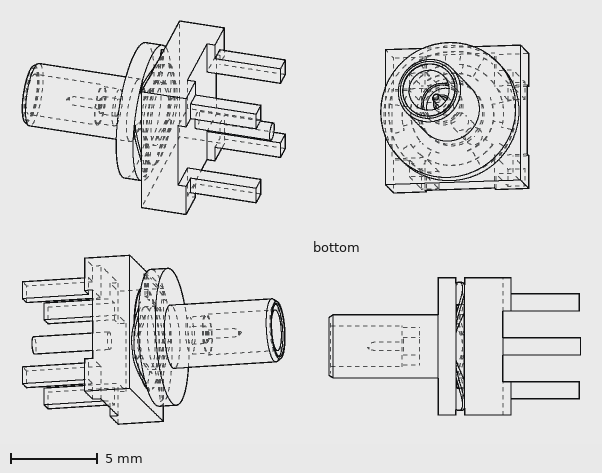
import cadquery as cq
import math

total_length = 14.5

barrel_diameter = 3.65
tip_chamfer_length = 0.25
tip_chamfer_height = 0.16
rim_recess_diameter = 3.06
rim_recess_depth = 0.1
bore_diameter = 2.35
bore_step_diameter = 2.15
bore_step_at = 4.2
bore_depth = 5.22

flange_front = 6.3
flange_thickness = 1.02

body_width = 7.92
body_front = 7.82
body_length = 2.68
channel_width = 4.06
channel_depth = 0.48
seat_diameter = 5.95
seat_height = 0.05

leg_width = 1.0
leg_end = 14.43
pin_diameter = 1.02

contact_base_length = 1.02
contact_base_chamfer = 0.1
contact_diameter = 0.5
contact_length = 2.03
contact_taper_length = 0.29
contact_taper_diameter = 0.32
contact_point_length = 0.15

washer_outer_diameter = 7.4
washer_inner_diameter = 4.85
washer_thickness = 0.15
wave_count = 3
wave_amplitude = 0.32
wave_skew = 6.0
wave_points = 36

flange_back = flange_front + flange_thickness
body_back = body_front + body_length
channel_floor = body_back - channel_depth
seat_front = body_front - seat_height


def rod(start, end, diameter):
    """Cylinder on the X axis between two X positions."""
    return cq.Workplane("YZ").workplane(offset=start).circle(diameter / 2).extrude(end - start)


def slab(start, end, size_y, size_z):
    """Rectangular block centred on the X axis between two X positions."""
    return cq.Workplane("YZ").workplane(offset=start).rect(size_y, size_z).extrude(end - start)


def make_barrel():
    """Barrel and flange, with a tapered tip, a shallow rim recess and a stepped blind bore."""
    radius = barrel_diameter / 2
    profile = [
        (0, 0),
        (0, radius - tip_chamfer_height),
        (tip_chamfer_length, radius),
        (body_front, radius),
        (body_front, 0),
    ]
    barrel = cq.Workplane("XY").polyline(profile).close().revolve(360, (0, 0, 0), (1, 0, 0))
    barrel = barrel.union(rod(flange_front, flange_back, body_width))
    barrel = barrel.cut(rod(0, rim_recess_depth, rim_recess_diameter))
    barrel = barrel.cut(rod(0, bore_step_at, bore_diameter))
    return barrel.cut(rod(0, bore_depth, bore_step_diameter))


def make_contact():
    """Pointed contact on a chamfered base, standing on the bore floor."""
    base_front = bore_depth - contact_base_length
    tip = base_front - contact_length
    taper_front = tip + contact_point_length
    base_radius = pin_diameter / 2
    contact_radius = contact_diameter / 2
    profile = [
        (tip, 0),
        (taper_front, contact_taper_diameter / 2),
        (taper_front + contact_taper_length, contact_radius),
        (base_front, contact_radius),
        (base_front, base_radius - contact_base_chamfer),
        (base_front + contact_base_chamfer, base_radius),
        (bore_depth, base_radius),
        (bore_depth, 0),
    ]
    return cq.Workplane("XY").polyline(profile).close().revolve(360, (0, 0, 0), (1, 0, 0))


def make_body():
    """Square body with its rear channels, front seat, corner legs and solder pin."""
    body = slab(body_front, body_back, body_width, body_width)
    body = body.cut(slab(channel_floor, body_back, body_width, channel_width))
    body = body.cut(slab(channel_floor, body_back, channel_width, body_width))
    body = body.union(rod(seat_front, body_front, seat_diameter))
    body = body.union(rod(channel_floor, total_length, pin_diameter))
    leg_pitch = channel_width + leg_width
    legs = (
        cq.Workplane("YZ")
        .workplane(offset=body_back)
        .rect(leg_pitch, leg_pitch, forConstruction=True)
        .vertices()
        .rect(leg_width, leg_width)
        .extrude(leg_end - body_back)
    )
    return body.union(legs)


def wave_edge(diameter, crest):
    """Closed wavy curve whose highest points reach the X position given as the crest."""
    points = []
    for step in range(wave_points):
        angle = 2 * math.pi * step / wave_points
        phase = angle + math.radians(wave_skew) * math.sin(angle)
        x = crest - wave_amplitude * (1 - math.cos(wave_count * phase))
        y = diameter / 2 * math.sin(angle)
        z = diameter / 2 * math.cos(angle)
        points.append(cq.Vector(x, y, z))
    return cq.Edge.makeSpline(points, periodic=True)


def make_washer():
    """Wave washer with one crest at the top; the crests sink into the body seat to join it."""
    back = seat_front + washer_thickness / 2
    front = back - washer_thickness
    edges = [
        wave_edge(washer_outer_diameter, front),
        wave_edge(washer_outer_diameter, back),
        wave_edge(washer_inner_diameter, back),
        wave_edge(washer_inner_diameter, front),
    ]
    faces = []
    for index, edge in enumerate(edges):
        faces.append(cq.Face.makeRuledSurface(edges[index - 1], edge))
    return cq.Workplane(cq.Solid.makeSolid(cq.Shell.makeShell(faces)))


result = make_barrel().union(make_contact()).union(make_body()).union(make_washer())